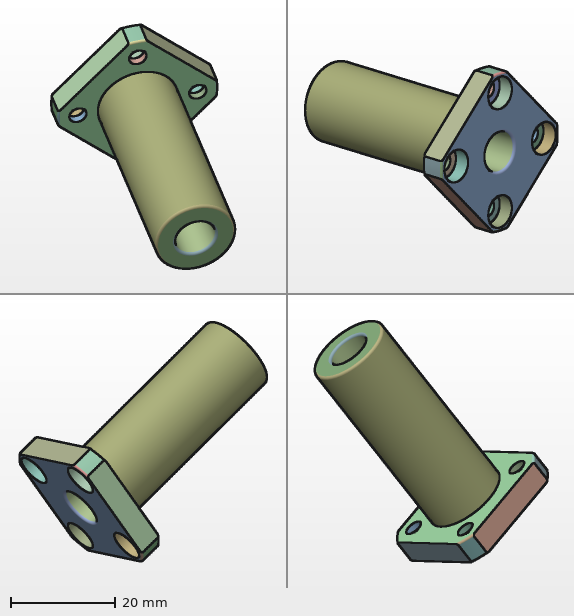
import cadquery as cq
import math

length = 45
flange_diameter = 32.0
flange_side = 25.0
flange_thickness = 5.0
flange_rim_radius = 0.4
body_diameter = 16.0
body_end_radius = 0.5
bore_diameter = 8.0
bore_mouth_radius = 0.5

bolt_circle_diameter = 24.0
hole_diameter = 3.4
counterbore_diameter = 6.5
counterbore_depth = 3.3


def cylinder(diameter, start, end):
    """Cylinder along X between two X positions."""
    return cq.Workplane("YZ").workplane(offset=start).circle(diameter / 2).extrude(end - start)


def make_flange():
    """Square flange standing on a corner, its corners turned to a disc with rounded rims."""
    disc = cylinder(flange_diameter, 0, flange_thickness).edges().fillet(flange_rim_radius)
    square = (
        cq.Workplane("YZ")
        .transformed(rotate=(0, 0, 45))
        .rect(flange_side, flange_side)
        .extrude(flange_thickness)
    )
    return disc.intersect(square)


def make_body():
    """Round sleeve with a rounded free end."""
    return cylinder(body_diameter, 0, length).faces(">X").edges().fillet(body_end_radius)


def make_bore():
    """Cutter for the through bore, flared at both mouths by convex rounds."""
    radius = bore_diameter / 2
    mouth_radius = radius + bore_mouth_radius
    far_round_start = length - bore_mouth_radius
    return (
        cq.Workplane("XY")
        .lineTo(0, mouth_radius)
        .radiusArc((bore_mouth_radius, radius), -bore_mouth_radius)
        .lineTo(far_round_start, radius)
        .radiusArc((length, mouth_radius), -bore_mouth_radius)
        .lineTo(length, 0)
        .close()
        .revolve(360, (0, 0), (1, 0))
    )


def make_mounting_hole():
    """Cutter for one counterbored hole, centred on the X axis."""
    through_hole = cylinder(hole_diameter, 0, flange_thickness)
    return through_hole.union(cylinder(counterbore_diameter, 0, counterbore_depth))


result = make_flange().union(make_body()).cut(make_bore())
for angle in range(0, 360, 90):
    y = bolt_circle_diameter / 2 * math.cos(math.radians(angle))
    z = bolt_circle_diameter / 2 * math.sin(math.radians(angle))
    result = result.cut(make_mounting_hole().translate((0, y, z)))